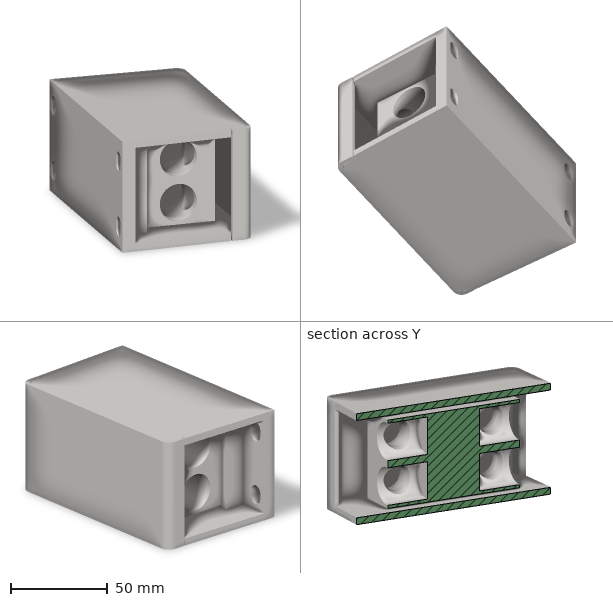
import cadquery as cq
import math

length = 118.0
depth = 72.0
height = 60.0
front_y = -depth / 2
back_y = depth / 2

back_length = 113.8
front_wall = 7.0
plate_thickness = 3.9
cover_leg_length = 11.5
cover_leg_thickness = 3.4
cover_back_thickness = 2.1
cover_outer_radius = 5.0
cover_inner_radius = 1.9
leg_tip_radius = 1.7
cover_front_y = back_y - cover_leg_length
inner_height = height - 2 * plate_thickness

joint_depth = 2.5
leg_joint_width = 0.6
corner_joint_width = 0.2
corner_joint_radius = 3.7
corner_joint_inset = 5.9
corner_joint_tail = 2.6

block_length = 78.4
block_depth = 38.4
block_height = 47.8
ledge_length = 85.0
ledge_depth = 11.8
ledge_back_y = front_y + front_wall + ledge_depth

cable_diameter = 20.1
cable_bore_depth = 23.6
cable_y = 1.1
cable_z = 12.0
cross_diameter = 15.3
cross_inset = 11.6

slot_width = 7.0
slot_height = 10.4
slot_x = 52.2
slot_z = 17.6


def box_between(x_size, y_start, y_end, z_size):
    """Box centred in X and Z, spanning the given Y range."""
    return cq.Workplane("XY").box(x_size, y_end - y_start, z_size).translate((0, (y_start + y_end) / 2, 0))


def make_housing():
    """Tapered body with rounded back corners, hollow along X inside the cover legs."""
    taper_end_y = cover_front_y - leg_joint_width
    body = (
        cq.Workplane("XY")
        .workplane(offset=-height / 2)
        .moveTo(-length / 2, front_y)
        .lineTo(length / 2, front_y)
        .lineTo(back_length / 2, taper_end_y)
        .lineTo(back_length / 2, back_y)
        .lineTo(-back_length / 2, back_y)
        .lineTo(-back_length / 2, taper_end_y)
        .close()
        .extrude(height)
        .edges("|Z and >Y")
        .fillet(cover_outer_radius)
    )
    side_window = box_between(length, front_y + front_wall, cover_front_y, inner_height)
    cover_inside = box_between(
        back_length - 2 * cover_leg_thickness,
        front_y + front_wall,
        back_y - cover_back_thickness,
        inner_height,
    )
    cover_inside = cover_inside.edges("|Z and >Y").fillet(cover_inner_radius)
    body = body.cut(side_window).cut(cover_inside)
    for side in (-1, 1):
        body = body.cut(make_leg_tip_rounding(side))
    return body


def make_leg_tip_rounding(side):
    """Waste outside the rounded inner edge at the tip of one cover leg."""
    inner_x = side * (back_length / 2 - cover_leg_thickness)
    arc_offset = leg_tip_radius * (1 - math.sqrt(0.5))
    return (
        cq.Workplane("XY")
        .workplane(offset=-inner_height / 2)
        .moveTo(inner_x, cover_front_y)
        .lineTo(inner_x, cover_front_y + leg_tip_radius)
        .threePointArc(
            (inner_x + side * arc_offset, cover_front_y + arc_offset),
            (inner_x + side * leg_tip_radius, cover_front_y),
        )
        .close()
        .extrude(inner_height)
    )


def make_joints(side):
    """Slit at the leg tip and curved hairline at the cover corner on one side."""
    slit = box_between(2 * joint_depth, cover_front_y - leg_joint_width, cover_front_y, height)
    slit = slit.translate((side * back_length / 2, 0, 0))

    center = (side * (back_length / 2 - corner_joint_inset), back_y - corner_joint_inset)
    ring = (
        cq.Workplane("XY")
        .workplane(offset=-height / 2)
        .center(*center)
        .circle(corner_joint_radius)
        .circle(corner_joint_radius - corner_joint_width)
        .extrude(height)
    )
    quarter = (
        cq.Workplane("XY")
        .box(corner_joint_radius, corner_joint_radius, height)
        .translate((center[0] + side * corner_joint_radius / 2, center[1] + corner_joint_radius / 2, 0))
    )
    tail_x = center[0] + side * (corner_joint_radius - corner_joint_width / 2)
    tail = box_between(corner_joint_width, center[1] - corner_joint_tail, center[1], height)
    hairline = ring.intersect(quarter).union(tail.translate((tail_x, 0, 0)))
    plates_only = cq.Workplane("XY").box(length, depth, height)
    plates_only = plates_only.cut(cq.Workplane("XY").box(length, depth, inner_height))
    return slit.union(hairline.intersect(plates_only))


def make_terminal_block():
    """Ledge and block with cable bores and their cross bores."""
    ledge = box_between(ledge_length, front_y + front_wall, ledge_back_y, inner_height)
    block_back_y = ledge_back_y + block_depth
    block = box_between(block_length, front_y + front_wall, block_back_y, block_height)
    block = block.union(ledge)
    for side in (-1, 1):
        for z in (-cable_z, cable_z):
            overhang = (ledge_length - block_length) / 2
            cable_bore = cq.Solid.makeCylinder(
                cable_diameter / 2,
                cable_bore_depth + overhang,
                cq.Vector(side * ledge_length / 2, cable_y, z),
                cq.Vector(-side, 0, 0),
            )
            cross_bore = cq.Solid.makeCylinder(
                cross_diameter / 2,
                block_back_y - cable_y,
                cq.Vector(side * (block_length / 2 - cross_inset), cable_y, z),
                cq.Vector(0, 1, 0),
            )
            block = block.cut(cq.Workplane(cable_bore)).cut(cq.Workplane(cross_bore))
    return block


def make_mounting_slots():
    """Four upright slots through the front wall."""
    positions = [(x, z) for x in (-slot_x, slot_x) for z in (-slot_z, slot_z)]
    return (
        cq.Workplane("XZ", origin=(0, front_y, 0))
        .pushPoints(positions)
        .slot2D(slot_height, slot_width, 90)
        .extrude(-front_wall)
    )


result = make_housing().union(make_terminal_block()).cut(make_mounting_slots())
for side in (-1, 1):
    result = result.cut(make_joints(side))